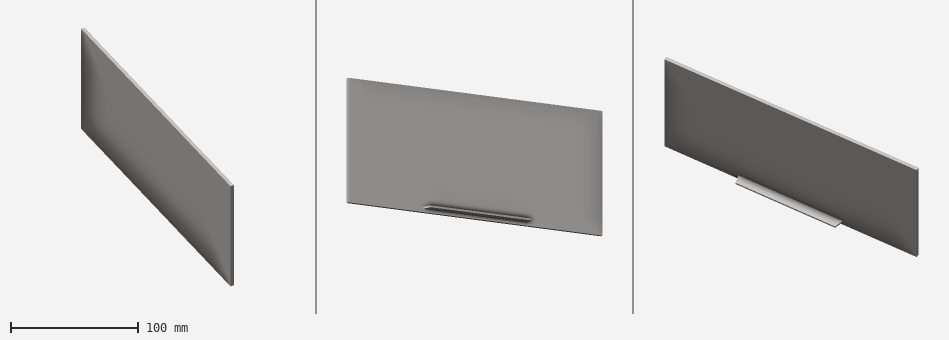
import cadquery as cq

plate_length = 230.0
plate_thickness = 3.0
plate_height = 100.0

overall_depth = 11.0
tab_depth = overall_depth - plate_thickness
tab_root_width = 95.0
tab_tip_width = 90.8
tab_thickness = 1.5
tab_bottom = 2.5


def make_plate():
    """Plate with its front face on Y = 0 and its lower edge on Z = 0."""
    return cq.Workplane("XY").box(
        plate_length, plate_thickness, plate_height, centered=(True, False, False)
    )


def make_tab():
    """Trapezoidal tab standing out from the plate's back face."""
    half_root = tab_root_width / 2
    half_tip = tab_tip_width / 2
    return (
        cq.Workplane("XY", origin=(0, plate_thickness, tab_bottom))
        .moveTo(-half_root, 0)
        .lineTo(half_root, 0)
        .lineTo(half_tip, tab_depth)
        .lineTo(-half_tip, tab_depth)
        .close()
        .extrude(tab_thickness)
    )


result = make_plate().union(make_tab())